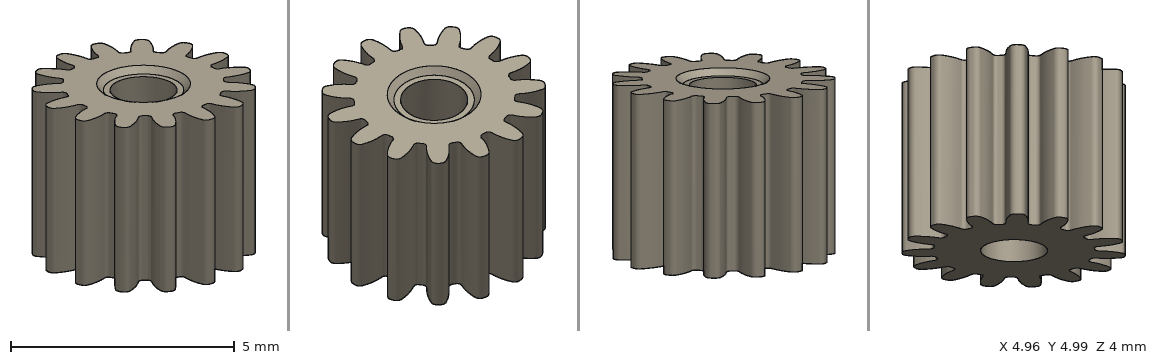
import cadquery as cq
import math

tooth_count = 15
face_width = 4.0
tip_radius = 2.505
root_radius = 1.8

root_half_thickness = 0.24
bulge_radius = 2.215
bulge_half_thickness = 0.23
tip_half_thickness = 0.13
root_fillet = 0.1
tip_fillet = 0.15

bore_radius = 0.75
recess_floor_radius = 0.9
recess_mouth_radius = 1.05
recess_depth = 0.15

tooth_pitch = 2 * math.pi / tooth_count
first_tooth_angle = math.pi


def on_circle(radius, angle):
    return (radius * math.cos(angle), radius * math.sin(angle))


def flank_point(radius, half_thickness, tooth_angle, side):
    """Point on a tooth flank; side is -1 or +1 for the clockwise or counterclockwise flank."""
    return on_circle(radius, tooth_angle + side * math.asin(half_thickness / radius))


def gear_outline():
    """Closed outline with sharp corners at the roots and tips of the teeth."""
    start = flank_point(root_radius, root_half_thickness, first_tooth_angle, -1)
    outline = cq.Workplane("XY", origin=(0, 0, -face_width / 2)).moveTo(*start)
    for tooth in range(tooth_count):
        angle = first_tooth_angle + tooth * tooth_pitch
        next_angle = angle + tooth_pitch
        outline = (
            outline
            .threePointArc(
                flank_point(bulge_radius, bulge_half_thickness, angle, -1),
                flank_point(tip_radius, tip_half_thickness, angle, -1),
            )
            .threePointArc(
                on_circle(tip_radius, angle),
                flank_point(tip_radius, tip_half_thickness, angle, 1),
            )
            .threePointArc(
                flank_point(bulge_radius, bulge_half_thickness, angle, 1),
                flank_point(root_radius, root_half_thickness, angle, 1),
            )
            .threePointArc(
                on_circle(root_radius, angle + tooth_pitch / 2),
                flank_point(root_radius, root_half_thickness, next_angle, -1),
            )
        )
    return outline.close()


def axis_distance(edge):
    """Distance of the middle of an edge from the gear axis."""
    center = edge.Center()
    return math.hypot(center.x, center.y)


def toothed_blank():
    """Solid gear with rounded tooth roots and tips."""
    mid_radius = (root_radius + tip_radius) / 2
    sharp = gear_outline().extrude(face_width)
    roots = sharp.edges("|Z").filter(lambda edge: axis_distance(edge) < mid_radius)
    rooted = roots.fillet(root_fillet)
    tips = rooted.edges("|Z").filter(lambda edge: axis_distance(edge) > mid_radius)
    return tips.fillet(tip_fillet)


def bore_cutter():
    """Through bore and the conical recess at its top end as one turned solid."""
    half_height = face_width / 2
    floor_height = half_height - recess_depth
    return (
        cq.Workplane("XZ")
        .moveTo(0, -half_height)
        .lineTo(bore_radius, -half_height)
        .lineTo(bore_radius, floor_height)
        .lineTo(recess_floor_radius, floor_height)
        .lineTo(recess_mouth_radius, half_height)
        .lineTo(0, half_height)
        .close()
        .revolve(360, (0, 0), (0, 1))
    )


result = toothed_blank().cut(bore_cutter())